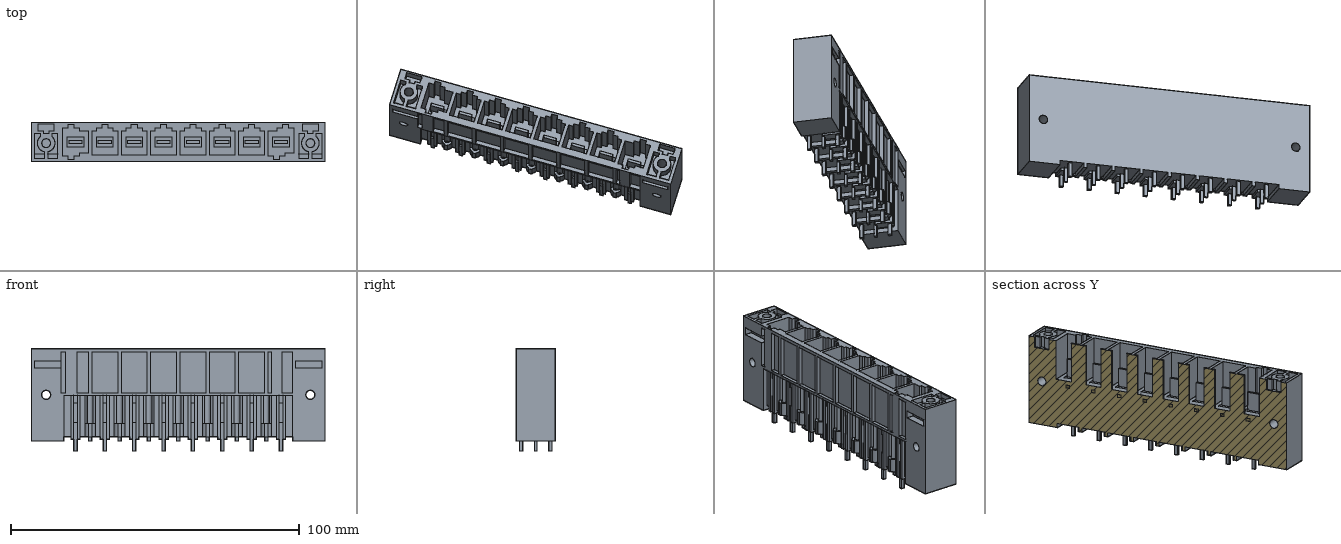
import cadquery as cq
import math

LENGTH = 101.6
WIDTH = 13.6
HEIGHT = 32.0
FRONT = -WIDTH / 2
BACK = WIDTH / 2

CONTACT_COUNT = 8
PITCH = 10.2
CONTACT_X = [(i - (CONTACT_COUNT - 1) / 2) * PITCH for i in range(CONTACT_COUNT)]
DIVIDER_X = [x + PITCH / 2 for x in CONTACT_X[:-1]]

POCKET_FLOOR_Z = 17.9
POCKET_WIDTH = 8.9
POCKET_HALF = POCKET_WIDTH / 2
POCKET_FRONT = -4.5
POCKET_SIDE_Y = 3.9
POCKET_STEP_Y = 4.8
POCKET_KEY_Y = 6.0
STEP_WIDTH = 5.8
KEY_WIDTH = 2.1
END_STEP_X = 1.4
END_KEY_X = 1.5

LOWER_HALF = 39.6
LOWER_TOP_Z = 15.8
LOWER_BOTTOM_Z = 1.5
LOWER_WALL_Y = -5.3

PANEL_BOTTOM_Z = 16.8
PANEL_TOP_Z = 30.9
PANEL_DEPTH = 1.3
DIVIDER_WIDTH = 1.2
LEFT_PANEL_START = -40.6
LEFT_RIB = (-39.0, -35.1)
RIGHT_RIB = (32.3, 36.0)

GUIDE_WIDTH = 3.3
GUIDE_FRONT = -6.3
GUIDE_BOTTOM_Z = 0.6

COLUMN_Y = -4.7
COLUMN_D = 3.9
COLUMN_BORE_D = 2.0
COLUMN_TOP_Z = 6.2
FLARE_HALF = 1.8
FLARE_ANGLE = 30.0
COLUMN_RIB_WIDTH = 1.2
FOOT_FRONT = COLUMN_Y + COLUMN_BORE_D / 2

FLANGE_X = 45.7
CROSS_HOLE_D = 3.0
CROSS_HOLE_Z = 16.1
SLOT_X = (40.6, 49.7)
SLOT_Z = (25.3, 27.8)
SLOT_DEPTH = 2.6
SCREW_Y = -0.4
SCREW_D = 3.0
SCREW_FLOOR_Z = 20.3
SCREW_BOSS_D = 6.1
FLANGE_POCKET_DEPTH = 3.9
FLANGE_POCKET_WIDTH = 7.9
FLANGE_POCKET_Y = (-5.7, 2.9)
BACK_WEB_WIDTH = 4.0
FRONT_WEB_WIDTH = 1.2
NUT_WIDTH = 5.5
NUT_Y = (3.9, 6.2)
NUT_NOTCH_WIDTH = 1.8

BLADE_WIDTH = 4.6
BLADE_THICKNESS = 0.9
BLADE_TOP_Z = 24.4
BASE_WIDTH = 5.8
BASE_DEPTH = 3.4
BAR_BOTTOM_Z = 15.4
BAR_TOP_Z = 16.3
PIN_WIDTH = 1.2
PIN_Y = 5.1
PIN_BOTTOM_Z = -3.5
RELIEF_Z = (6.4, 13.2)
RELIEF_DEPTH = 0.6


def block(x, y, z):
    """Box from three (low, high) ranges."""
    return (
        cq.Workplane("XY")
        .box(x[1] - x[0], y[1] - y[0], z[1] - z[0], centered=False)
        .translate((x[0], y[0], z[0]))
    )


def centred(x, half):
    """Range reaching half either way from a middle value."""
    return (x - half, x + half)


def rod(x, y, diameter, z):
    """Upright cylinder between two heights."""
    return cq.Workplane("XY", origin=(x, y, z[0])).circle(diameter / 2).extrude(z[1] - z[0])


def middle_pocket(x):
    """Pocket whose +Y side narrows in a step and a key slot."""
    z = (POCKET_FLOOR_Z, HEIGHT)
    pocket = block(centred(x, POCKET_HALF), (POCKET_FRONT, POCKET_SIDE_Y), z)
    pocket = pocket.union(block(centred(x, STEP_WIDTH / 2), (0, POCKET_STEP_Y), z))
    return pocket.union(block(centred(x, KEY_WIDTH / 2), (0, POCKET_KEY_Y), z))


def keyed_half(x, key_side, y_side):
    """Half of an end pocket, on the +Y or -Y side, with its key towards +X or -X."""
    key_outer = -END_KEY_X - KEY_WIDTH / 2
    key_inner = -END_KEY_X + KEY_WIDTH / 2
    points = [
        (-POCKET_HALF, 0),
        (-POCKET_HALF, POCKET_STEP_Y),
        (key_outer, POCKET_STEP_Y),
        (key_outer, POCKET_KEY_Y),
        (key_inner, POCKET_KEY_Y),
        (key_inner, POCKET_STEP_Y),
        (END_STEP_X, POCKET_STEP_Y),
        (END_STEP_X, POCKET_SIDE_Y),
        (POCKET_HALF, POCKET_SIDE_Y),
        (POCKET_HALF, 0),
    ]
    outline = [(x - key_side * px, y_side * py) for px, py in points]
    floor = cq.Workplane("XY", origin=(0, 0, POCKET_FLOOR_Z))
    return floor.polyline(outline).close().extrude(HEIGHT - POCKET_FLOOR_Z)


def pockets():
    """Keyed pockets at both ends of the row and plain ones between."""
    first, last = CONTACT_X[0], CONTACT_X[-1]
    cutter = keyed_half(first, -1, 1).union(keyed_half(first, -1, -1))
    cutter = cutter.union(keyed_half(last, 1, 1).union(keyed_half(last, -1, -1)))
    for x in CONTACT_X[1:-1]:
        cutter = cutter.union(middle_pocket(x))
    return cutter


def panels():
    """Panels between the ribs of the front."""
    half = DIVIDER_WIDTH / 2
    ribs = [LEFT_RIB] + [centred(x, half) for x in DIVIDER_X] + [RIGHT_RIB]
    starts = [LEFT_PANEL_START] + [rib[1] for rib in ribs]
    ends = [rib[0] for rib in ribs] + [LOWER_HALF]
    cutter = cq.Workplane("XY")
    for span in zip(starts, ends):
        cutter = cutter.add(block(span, (FRONT, FRONT + PANEL_DEPTH), (PANEL_BOTTOM_Z, PANEL_TOP_Z)))
    return cutter.combine()


def guide(x):
    """Post on the lower wall that houses a front pin."""
    return block(centred(x, GUIDE_WIDTH / 2), (GUIDE_FRONT, 0), (GUIDE_BOTTOM_Z, LOWER_TOP_Z))


def guide_channel(x):
    """Channel that opens the guide to the front of its pin."""
    return block(centred(x, PIN_WIDTH / 2), (GUIDE_FRONT, -PIN_Y), (GUIDE_BOTTOM_Z, LOWER_TOP_Z))


def column(x):
    """Half-round column on the wall, with a flat rib down its front and a foot below."""
    z = (LOWER_BOTTOM_Z, COLUMN_TOP_Z)
    rib_x = centred(x, COLUMN_RIB_WIDTH / 2)
    return (
        rod(x, COLUMN_Y, COLUMN_D, z)
        .union(block(rib_x, (FRONT, COLUMN_Y), z))
        .union(block(rib_x, (FOOT_FRONT, BACK), (0, COLUMN_TOP_Z)))
    )


def column_bore(x):
    """Bore down the column, opened to the front above it by a flared groove."""
    flare_depth = FLARE_HALF * math.tan(math.radians(FLARE_ANGLE))
    flare = (
        cq.Workplane("XY", origin=(x, LOWER_WALL_Y, COLUMN_TOP_Z))
        .polyline([(-FLARE_HALF, 0), (FLARE_HALF, 0), (0, flare_depth)])
        .close()
        .extrude(LOWER_TOP_Z - COLUMN_TOP_Z)
    )
    return flare.union(rod(x, COLUMN_Y, COLUMN_BORE_D, (LOWER_BOTTOM_Z, LOWER_TOP_Z)))


def flange_pockets(x):
    """Hollows around the screw boss, the nut recess behind it and the screw hole."""
    z = (HEIGHT - FLANGE_POCKET_DEPTH, HEIGHT)
    pocket = block(centred(x, FLANGE_POCKET_WIDTH / 2), FLANGE_POCKET_Y, z)
    pocket = pocket.cut(rod(x, SCREW_Y, SCREW_BOSS_D, z))
    pocket = pocket.cut(block(centred(x, BACK_WEB_WIDTH / 2), (SCREW_Y, BACK), z))
    pocket = pocket.cut(block(centred(x, FRONT_WEB_WIDTH / 2), (FRONT, SCREW_Y), z))
    nut = block(centred(x, NUT_WIDTH / 2), NUT_Y, z)
    notch = block(centred(x, NUT_NOTCH_WIDTH / 2), (FLANGE_POCKET_Y[1], NUT_Y[1]), z)
    return pocket.union(nut).union(notch).union(rod(x, SCREW_Y, SCREW_D, (SCREW_FLOOR_Z, HEIGHT)))


def cross_hole(x):
    """Hole through the flange from front to back."""
    centre = cq.Workplane("XZ", origin=(x, 0, CROSS_HOLE_Z))
    return centre.circle(CROSS_HOLE_D / 2).extrude(WIDTH, both=True)


def front_slot(side):
    """Slot in the front of a flange."""
    span = sorted(side * x for x in SLOT_X)
    return block(span, (FRONT, FRONT + SLOT_DEPTH), SLOT_Z)


def contact(x):
    """Blade on a base, with a cross bar carrying three pins."""
    half_pin = PIN_WIDTH / 2
    reach = PIN_Y + half_pin
    bar = block(centred(x, half_pin), (-reach, reach), (BAR_BOTTOM_Z, BAR_TOP_Z))
    base = block(centred(x, BASE_WIDTH / 2), centred(0, BASE_DEPTH / 2), (BAR_BOTTOM_Z, POCKET_FLOOR_Z))
    blade = block(
        centred(x, BLADE_WIDTH / 2), centred(0, BLADE_THICKNESS / 2), (POCKET_FLOOR_Z, BLADE_TOP_Z)
    )
    body = bar.union(base).union(blade)
    pin_rows = [(-PIN_Y, half_pin), (0, BLADE_THICKNESS / 2), (PIN_Y, half_pin)]
    for y, half_depth in pin_rows:
        pin = block(centred(x, half_pin), centred(y, half_depth), (PIN_BOTTOM_Z, BAR_BOTTOM_Z))
        body = body.union(pin)
    relief = block(centred(x, half_pin), (-reach, -reach + RELIEF_DEPTH), RELIEF_Z)
    return body.cut(relief)


def housing_body():
    """Housing before the contacts are seated in it."""
    body = block(centred(0, LENGTH / 2), (FRONT, BACK), (0, HEIGHT))
    lower_x = centred(0, LOWER_HALF)
    body = body.cut(block(lower_x, (FRONT, LOWER_WALL_Y), (0, LOWER_TOP_Z)))
    body = body.cut(block(lower_x, (FRONT, BACK), (0, LOWER_BOTTOM_Z)))
    body = body.cut(pockets()).cut(panels())
    for x in DIVIDER_X:
        body = body.union(column(x)).cut(column_bore(x))
    for x in CONTACT_X:
        body = body.union(guide(x)).cut(guide_channel(x))
    for side in (-1, 1):
        x = side * FLANGE_X
        body = body.cut(flange_pockets(x)).cut(cross_hole(x)).cut(front_slot(side))
    return body


contacts = [contact(x).solids().val() for x in CONTACT_X]

housing = housing_body()
for seated in contacts:
    housing = housing.cut(cq.Workplane(seated))

result = cq.Compound.makeCompound([housing.solids().val(), *contacts])